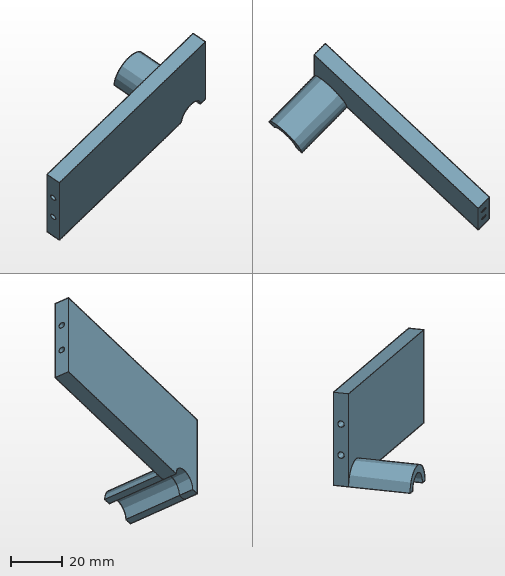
import cadquery as cq

plate_length = 88.9
plate_height = 38.1
plate_thickness = 6.3

sleeve_length = 25.4
sleeve_radius = 8.9
bore_radius = 5.7
sleeve_y = plate_length - sleeve_radius

hole_diameter = 2.6
hole_pitch = plate_height / 3


def half_round(radius, start_x, length):
    """Upper half of a cylinder along X, lying on the Z = 0 plane."""
    return (
        cq.Workplane("YZ", origin=(start_x, sleeve_y, 0))
        .moveTo(-radius, 0)
        .threePointArc((0, radius), (radius, 0))
        .close()
        .extrude(length)
    )


def make_plate():
    """Upright plate with a half-round notch and two holes along its length."""
    plate = cq.Workplane("XY").box(
        plate_thickness, plate_length, plate_height, centered=False
    )
    plate = plate.cut(half_round(bore_radius, 0, plate_thickness))
    for row in (1, 2):
        hole = (
            cq.Workplane("XZ", origin=(plate_thickness / 2, 0, row * hole_pitch))
            .circle(hole_diameter / 2)
            .extrude(-plate_length)
        )
        plate = plate.cut(hole)
    return plate


def make_sleeve():
    """Half-round sleeve standing against the -X face of the plate."""
    outside = half_round(sleeve_radius, -sleeve_length, sleeve_length)
    return outside.cut(half_round(bore_radius, -sleeve_length, sleeve_length))


plate = make_plate()
sleeve = make_sleeve()

result = cq.Compound.makeCompound([plate.val(), sleeve.val()])